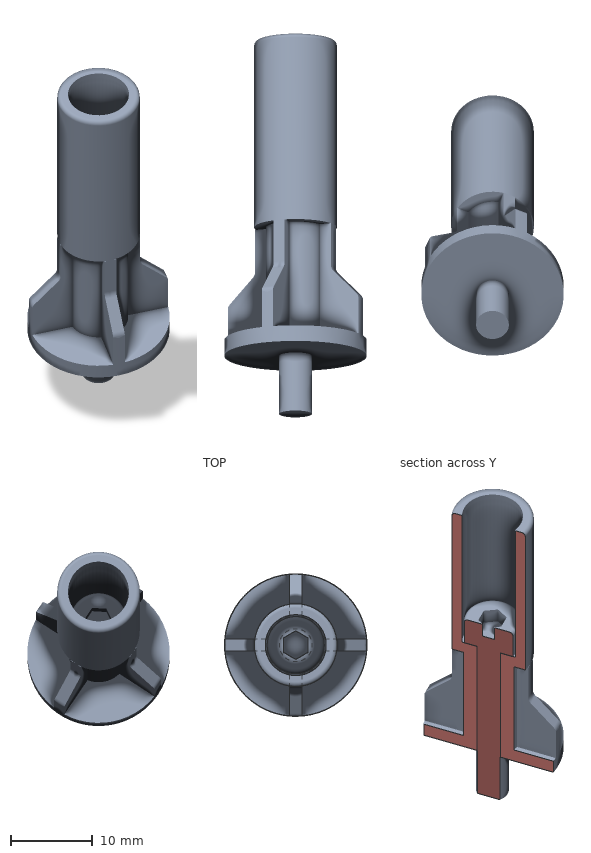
import cadquery as cq
import math

total_height = 46.5
flange_bottom = 7.25
flange_thickness = 1.95
rib_height = 14.05
seat_height = 25.0
flange_top = flange_bottom + flange_thickness
tube_bottom = flange_top + rib_height

flange_radius = 8.7
tube_diameter = 10.1
tube_radius = tube_diameter / 2
bore_radius = 3.7
core_radius = 3.65
tube_edge_fillet = 0.5
rib_width = 1.5
rib_shoulder_height = 4.75
rib_blend_radius = 1.0

shank_radius = 2.0
head_radius = 3.5
head_height = 4.0
head_edge_fillet = 0.5
hex_across_flats = 3.0
hex_depth = 2.0


def cylinder(radius, bottom, top):
    return cq.Workplane("XY").workplane(offset=bottom).circle(radius).extrude(top - bottom)


def make_ribs():
    """Four ribs: a mirrored stepped plate crossed with its quarter-turn copy."""
    shoulder = flange_top + rib_shoulder_height
    slope_top = shoulder + flange_radius - tube_radius
    plate = (
        cq.Workplane("XZ")
        .moveTo(-flange_radius, flange_top)
        .lineTo(flange_radius, flange_top)
        .lineTo(flange_radius, shoulder)
        .lineTo(tube_radius, slope_top)
        .lineTo(tube_radius, tube_bottom)
        .lineTo(-tube_radius, tube_bottom)
        .lineTo(-tube_radius, slope_top)
        .lineTo(-flange_radius, shoulder)
        .close()
        .extrude(rib_width / 2, both=True)
    )
    slope_ends = plate.edges("|Y").edges("not(<Z or >Z)")
    plate = slope_ends.fillet(rib_blend_radius)
    cross = plate.union(plate.rotate((0, 0, 0), (0, 0, 1), 90))

    return cross.intersect(cylinder(flange_radius, flange_top, tube_bottom))


def make_housing():
    """Bored tube on a ribbed core and a round flange."""
    tube = cylinder(tube_radius, tube_bottom, total_height).faces(">Z").edges().fillet(tube_edge_fillet)
    flange = cylinder(flange_radius, flange_bottom, flange_top)
    core = cylinder(core_radius, flange_top, tube_bottom)
    housing = flange.union(core).union(make_ribs()).union(tube).clean()
    housing = housing.cut(cylinder(bore_radius, seat_height, total_height))
    return housing.cut(cylinder(shank_radius, flange_bottom, seat_height))


def make_screw():
    """Socket head cap screw passing down through the housing."""
    head_top = seat_height + head_height
    head = cylinder(head_radius, seat_height, head_top).faces(">Z").edges().fillet(head_edge_fillet)
    hex_across_corners = hex_across_flats / math.cos(math.radians(30))
    socket = (
        cq.Workplane("XY")
        .workplane(offset=head_top - hex_depth)
        .transformed(rotate=(0, 0, 90))
        .polygon(6, hex_across_corners)
        .extrude(hex_depth)
    )
    return cylinder(shank_radius, 0, seat_height).union(head).cut(socket)


housing = make_housing()
screw = make_screw()

result = cq.Compound.makeCompound([housing.val(), screw.val()])